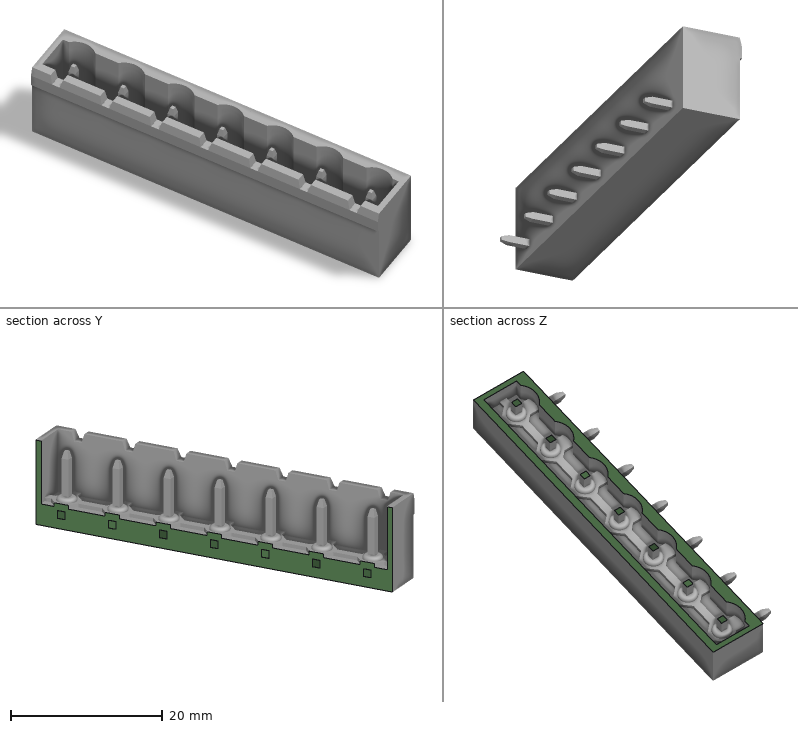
import cadquery as cq


PIN_COUNT = 7
LENGTH = 53.35
PITCH = LENGTH / PIN_COUNT
PIN_X = [(i - (PIN_COUNT - 1) / 2) * PITCH for i in range(PIN_COUNT)]

HEIGHT = 12.0
BACK_Y = 3.95
LIP_Y = -4.65
LIP_DEPTH = 0.3
FRONT_Y = LIP_Y + LIP_DEPTH
LIP_HEIGHT = 3.05
BEVEL_HEIGHT = 1.3

END_WALL = 0.85
FRONT_WALL = 1.5
BACK_WALL = 1.75
CAVITY_HALF_LENGTH = LENGTH / 2 - END_WALL
CAVITY_FRONT_Y = LIP_Y + FRONT_WALL
CAVITY_BACK_Y = BACK_Y - BACK_WALL
BAY_DEPTH = 0.85
BAY_BACK_Y = CAVITY_BACK_Y + BAY_DEPTH
FLOOR_Z = 3.65

POCKET_DEPTH = 0.55
RIB_WIDTH = 1.1
RIB_HALF_WIDTH = RIB_WIDTH / 2
BACK_RIB_HALF_WIDTH = 1.1
NODE_REACH = 2.05
FLANK_SUM = NODE_REACH + RIB_HALF_WIDTH
BAY_HALF_WIDTH = NODE_REACH

COLLAR_DIAMETER = 2.8
COLLAR_HEIGHT = 0.55
COLLAR_ROUNDING = 0.5

NOTCH_TOP_WIDTH = 1.9
NOTCH_BOTTOM_WIDTH = RIB_WIDTH

PIN_SIZE = 1.0
PIN_TIP_SIZE = 0.55
PIN_TAPER = 1.0
PIN_TOP_Z = 10.55
TAIL_Z = 2.05
TAIL_LENGTH = 3.9
TAIL_END_Y = BACK_Y + TAIL_LENGTH


def make_block():
    """Housing block with the bevelled lip on its front face."""
    lip_bottom_z = HEIGHT - LIP_HEIGHT
    profile = [
        (BACK_Y, 0),
        (FRONT_Y, 0),
        (FRONT_Y, lip_bottom_z),
        (LIP_Y, lip_bottom_z),
        (LIP_Y, HEIGHT - BEVEL_HEIGHT),
        (FRONT_Y, HEIGHT),
        (BACK_Y, HEIGHT),
    ]
    return cq.Workplane("YZ").polyline(profile).close().extrude(LENGTH / 2, both=True)


def make_cavity(bottom_z):
    """Cavity volume from bottom_z up to the top of the housing."""
    outline = (
        cq.Workplane("XY", origin=(0, 0, bottom_z))
        .moveTo(-CAVITY_HALF_LENGTH, CAVITY_FRONT_Y)
        .lineTo(-CAVITY_HALF_LENGTH, CAVITY_BACK_Y)
    )
    for x in PIN_X:
        outline = outline.lineTo(x - BAY_HALF_WIDTH, CAVITY_BACK_Y)
        outline = outline.threePointArc((x, BAY_BACK_Y), (x + BAY_HALF_WIDTH, CAVITY_BACK_Y))
    outline = outline.lineTo(CAVITY_HALF_LENGTH, CAVITY_BACK_Y).lineTo(CAVITY_HALF_LENGTH, CAVITY_FRONT_Y)
    return outline.close().extrude(HEIGHT - bottom_z)


def make_ribs():
    """Rib network: one long rib, and at each contact a widened node with ribs to both walls."""
    pocket_floor = cq.Workplane("XY", origin=(0, 0, FLOOR_Z - POCKET_DEPTH))
    ribs = pocket_floor.rect(LENGTH, RIB_WIDTH).extrude(POCKET_DEPTH)
    right_side = [
        (RIB_HALF_WIDTH, LIP_Y),
        (RIB_HALF_WIDTH, RIB_HALF_WIDTH - FLANK_SUM),
        (NODE_REACH, -RIB_HALF_WIDTH),
        (NODE_REACH, RIB_HALF_WIDTH),
        (BACK_RIB_HALF_WIDTH, FLANK_SUM - BACK_RIB_HALF_WIDTH),
        (BACK_RIB_HALF_WIDTH, BACK_Y),
    ]
    left_side = [(-x, y) for x, y in reversed(right_side)]
    node = pocket_floor.polyline(right_side + left_side).close().extrude(POCKET_DEPTH)
    for x in PIN_X:
        ribs = ribs.union(node.translate((x, 0, 0)))
    return ribs


def make_collar(x):
    """Collar with a rounded rim, standing on the rib node at x."""
    collar = cq.Workplane("XY", origin=(x, 0, FLOOR_Z)).circle(COLLAR_DIAMETER / 2).extrude(COLLAR_HEIGHT)
    return collar.faces(">Z").edges().fillet(COLLAR_ROUNDING)


def make_notch(x):
    """Notch volume with sloping sides, through the front wall at x."""
    bottom_z = HEIGHT - BEVEL_HEIGHT
    profile = [
        (x - NOTCH_BOTTOM_WIDTH / 2, bottom_z),
        (x + NOTCH_BOTTOM_WIDTH / 2, bottom_z),
        (x + NOTCH_TOP_WIDTH / 2, HEIGHT),
        (x - NOTCH_TOP_WIDTH / 2, HEIGHT),
    ]
    notch = cq.Workplane("XZ", origin=(0, CAVITY_FRONT_Y, 0)).polyline(profile).close()
    return notch.extrude(CAVITY_FRONT_Y - LIP_Y)


def make_taper(plane):
    """Square pin end narrowing along the normal of the plane."""
    return (
        cq.Workplane(plane)
        .rect(PIN_SIZE, PIN_SIZE)
        .workplane(offset=PIN_TAPER)
        .rect(PIN_TIP_SIZE, PIN_TIP_SIZE)
        .loft(ruled=True)
    )


def make_pin(x):
    """Right-angle square pin: an upright contact and a tail out of the back, both tapered."""
    upright_top_z = PIN_TOP_Z - PIN_TAPER
    tail_shoulder_y = TAIL_END_Y - PIN_TAPER
    bend_bottom_z = TAIL_Z - PIN_SIZE / 2
    bend_front_y = -PIN_SIZE / 2
    upright = (
        cq.Workplane("XY", origin=(x, 0, bend_bottom_z))
        .rect(PIN_SIZE, PIN_SIZE)
        .extrude(upright_top_z - bend_bottom_z)
    )
    tail = (
        cq.Workplane(cq.Plane((x, bend_front_y, TAIL_Z), (1, 0, 0), (0, 1, 0)))
        .rect(PIN_SIZE, PIN_SIZE)
        .extrude(tail_shoulder_y - bend_front_y)
    )
    upright_tip = make_taper(cq.Plane((x, 0, upright_top_z), (1, 0, 0), (0, 0, 1)))
    tail_tip = make_taper(cq.Plane((x, tail_shoulder_y, TAIL_Z), (1, 0, 0), (0, 1, 0)))
    return upright.union(tail).union(upright_tip).union(tail_tip)


def make_housing(pins):
    """Housing with its cavity, ribs, collars and notches, and a matching passage for each pin."""
    housing = make_block().cut(make_cavity(FLOOR_Z - POCKET_DEPTH).cut(make_ribs()))
    for x, pin in zip(PIN_X, pins):
        housing = housing.union(make_collar(x)).cut(make_notch(x)).cut(pin)
    return housing


pins = [make_pin(x) for x in PIN_X]
housing = make_housing(pins)

result = cq.Compound.makeCompound([housing.val(), *[pin.val() for pin in pins]])